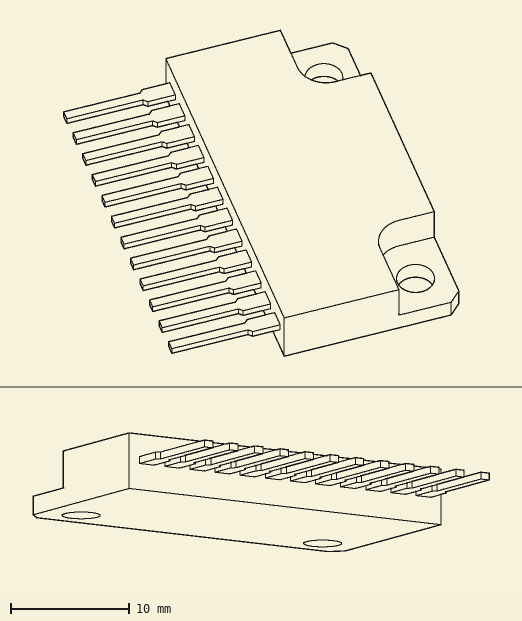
import cadquery as cq

overall_depth = 25.5

body_width = 31.5
body_depth = 15.95
body_height = 4.8

left_ear_width = 7.1
right_ear_width = 7.55
ear_depth = 5.7
ear_thickness = 1.6
ear_inner_radius = 2.55
ear_chamfer = 1.05
hole_diameter = 3.2
hole_side_offset = 3.55
hole_rear_offset = 3.02

pin_count = 12
pin_row_span = 27.9
pin_pitch = pin_row_span / (pin_count - 1)
pin_length = overall_depth - body_depth
pin_root_width = 1.48
pin_tip_width = 0.85
pin_root_length = 2.45
pin_taper_length = (pin_root_width - pin_tip_width) / 2
pin_thickness = 0.6
pin_center_height = 2.55


def make_body():
    """Plain block with its two rear vertical edges chamfered."""
    block = cq.Workplane("XY").box(
        body_width, body_depth, body_height, centered=(True, False, False)
    )
    return block.faces(">Y").edges("|Z").chamfer(ear_chamfer)


def make_ear_recess(side, ear_width):
    """Material above one ear; side is -1 for left and +1 for right."""
    recess = (
        cq.Workplane("XY", origin=(0, 0, ear_thickness))
        .center(side * (body_width - ear_width) / 2, body_depth - ear_depth / 2)
        .rect(ear_width, ear_depth)
        .extrude(body_height - ear_thickness)
    )
    inner_edge = "<X" if side > 0 else ">X"
    return recess.faces(inner_edge).edges("|Z").edges("<Y").fillet(ear_inner_radius)


def make_ear_hole(side):
    """Cylinder for the through hole of one ear."""
    return (
        cq.Workplane("XY")
        .center(side * (body_width / 2 - hole_side_offset), body_depth - hole_rear_offset)
        .circle(hole_diameter / 2)
        .extrude(body_height)
    )


def make_pin(x):
    """Flat pin pointing to -Y, narrowing from a wide root to a slim tip."""
    root = pin_root_width / 2
    tip = pin_tip_width / 2
    taper_end = pin_root_length + pin_taper_length
    return (
        cq.Workplane("XY", origin=(x, 0, pin_center_height - pin_thickness / 2))
        .polyline([
            (-root, 0),
            (-root, -pin_root_length),
            (-tip, -taper_end),
            (-tip, -pin_length),
            (tip, -pin_length),
            (tip, -taper_end),
            (root, -pin_root_length),
            (root, 0),
        ])
        .close()
        .extrude(pin_thickness)
    )


result = make_body()
for side, ear_width in ((-1, left_ear_width), (1, right_ear_width)):
    result = result.cut(make_ear_recess(side, ear_width)).cut(make_ear_hole(side))
for index in range(pin_count):
    result = result.union(make_pin(index * pin_pitch - pin_row_span / 2))